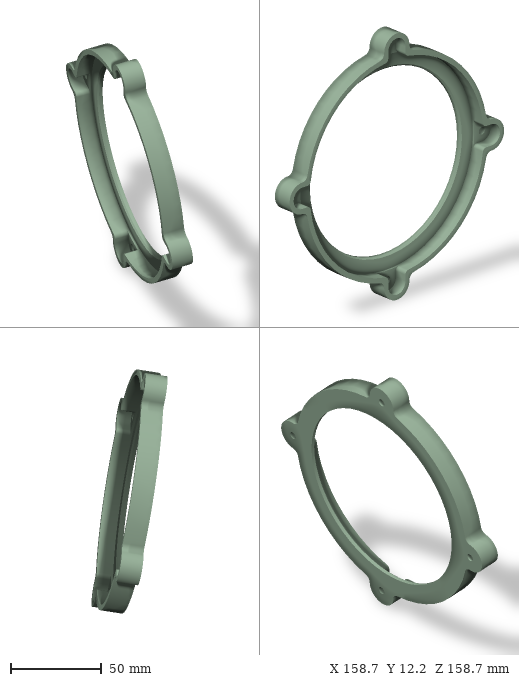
import cadquery as cq
import math

overall_size = 158.7
depth = 12.2
wall = 3.0

ring_inner_radius = 64.3
ring_outer_radius = ring_inner_radius + wall
ring_floor_depth = 9.2
bore_radius = 55.4
bore_chamfer = 1.0

ear_count = 4
ear_radius = 9.4
ear_pocket_radius = ear_radius - wall
ear_distance = overall_size / 2 - ear_radius
ear_floor_depth = 8.0
screw_hole_radius = 2.2
outer_fillet = 4.0
inner_fillet = 2.4


def disc(radius, start, length):
    """Cylinder about the Y axis, running from Y = start towards +Y."""
    return cq.Workplane("XZ", origin=(0, start, 0)).circle(radius).extrude(-length)


def ears(ring_radius, radius, fillet, length):
    """Round-ended lobes with flared roots that blend into a circle of ring_radius."""
    fillet_x = radius + fillet
    fillet_z = math.sqrt((ring_radius + fillet) ** 2 - fillet_x**2)
    root_scale = ring_radius / (ring_radius + fillet)
    root_x = fillet_x * root_scale
    root_z = fillet_z * root_scale
    middle_angle = math.pi + math.atan2(fillet_z, fillet_x) / 2
    middle_x = fillet_x + fillet * math.cos(middle_angle)
    middle_z = fillet_z + fillet * math.sin(middle_angle)

    lobe = (
        cq.Workplane("XZ")
        .moveTo(0, 0)
        .lineTo(root_x, root_z)
        .threePointArc((middle_x, middle_z), (radius, fillet_z))
        .lineTo(radius, ear_distance)
        .threePointArc((0, ear_distance + radius), (-radius, ear_distance))
        .lineTo(-radius, fillet_z)
        .threePointArc((-middle_x, middle_z), (-root_x, root_z))
        .close()
        .extrude(-length)
    )
    return around_ring(lobe)


def around_ring(feature):
    """Repeat a feature at every ear position."""
    copies = feature
    for index in range(1, ear_count):
        angle = index * 360 / ear_count
        copies = copies.union(feature.rotate((0, 0, 0), (0, 1, 0), angle))
    return copies


body = disc(ring_outer_radius, 0, depth).union(
    ears(ring_outer_radius, ear_radius, outer_fillet, depth)
)

body = body.cut(ears(ring_inner_radius, ear_pocket_radius, inner_fillet, ear_floor_depth))
body = body.cut(disc(ring_inner_radius, 0, ring_floor_depth))

body = body.cut(disc(bore_radius, 0, depth))
bore_cone = cq.Workplane(
    cq.Solid.makeCone(
        bore_radius + bore_chamfer,
        bore_radius,
        bore_chamfer,
        pnt=cq.Vector(0, ring_floor_depth, 0),
        dir=cq.Vector(0, 1, 0),
    )
)
body = body.cut(bore_cone)

screw_hole = disc(screw_hole_radius, 0, depth).translate((0, 0, ear_distance))
result = body.cut(around_ring(screw_hole))